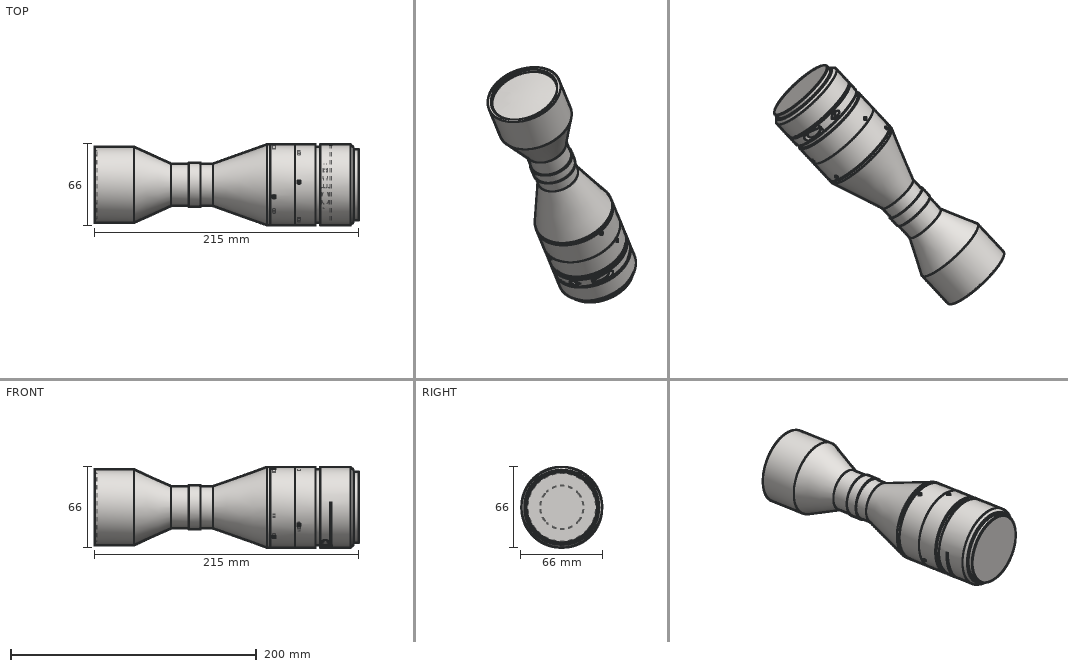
import cadquery as cq
import math


hood_radius = 31.0
neck_radius = 17.25
band_radius = 18.0
barrel_radius = 33.0
groove_floor_radius = 31.0
mount_radius = 29.0

hood_end = 32.6
front_cone_end = 62.2
band_start = 76.3
band_end = 85.9
rear_cone_start = 96.1
rear_cone_end = 140.2
relief_x = 142.8
mount_face_x = 163.0
wide_groove_start = 179.8
wide_groove_end = 183.4
rear_chamfer_start = 208.0
shoulder_x = 210.7
total_length = 214.97

hood_edge_break = 0.5
neck_edge_break = 0.5
band_edge_break = 0.4
ring_edge_break = 0.4
mount_edge_break = 0.4
relief_half_width = 0.3
relief_depth = 0.25
rear_chamfer_drop = 2.5

recess_radius = 28.2
dome_radius = 27.5
recess_depth = 2.0
dome_height = 1.6

screw_hole_diameter = 2.5
screw_hole_depth = 3.0
holes_per_row = 3
front_row_x = 145.9
front_row_angle = 107.5
rear_row_x = 166.2
rear_row_angle = 86.0

slit_x = 192.2
slit_width = 1.3
slit_floor_radius = 32.84
pocket_diameter = 6.4
pocket_x = 187.6
pocket_z = -29.8
pocket_floor_y = -2.0
clearance_diameter = 3.6

cutter_overlap = 1.0


def revolve_about_axis(profile):
    return profile.revolve(360, (0, 0, 0), (1, 0, 0))


def make_front_blank():
    """Hood, neck and rear cone, with a shallow convex window set back in the hood."""
    outline = [
        (0, recess_radius),
        (0, hood_radius),
        (hood_end - hood_edge_break, hood_radius),
        (hood_end, hood_radius - hood_edge_break / 2),
        (front_cone_end - neck_edge_break, neck_radius + neck_edge_break / 2),
        (front_cone_end, neck_radius),
        (band_start, neck_radius),
        (band_start, band_radius - band_edge_break),
        (band_start + band_edge_break, band_radius),
        (band_end, band_radius),
        (band_end, neck_radius),
        (rear_cone_start, neck_radius),
        (rear_cone_end, barrel_radius),
        (relief_x - relief_half_width, barrel_radius),
        (relief_x, barrel_radius - relief_depth),
        (relief_x + relief_half_width, barrel_radius),
        (mount_face_x, barrel_radius),
        (mount_face_x, 0),
    ]
    dome_tip = recess_depth - dome_height
    sphere_radius = (dome_radius**2 + dome_height**2) / (2 * dome_height)
    half_angle = math.asin(dome_radius / sphere_radius) / 2
    arc_x = dome_tip + sphere_radius * (1 - math.cos(half_angle))
    arc_radius = sphere_radius * math.sin(half_angle)
    profile = cq.Workplane("XY").moveTo(dome_tip, 0)
    profile = profile.threePointArc((arc_x, arc_radius), (recess_depth, dome_radius))
    for point in outline:
        profile = profile.lineTo(*point)
    return revolve_about_axis(profile.close())


def make_mount_blank():
    """Rear body with its wide groove, clamp ring and mounting collar."""
    outline = [
        (mount_face_x, 0),
        (mount_face_x, barrel_radius),
        (wide_groove_start, barrel_radius),
        (wide_groove_start, groove_floor_radius),
        (wide_groove_end, groove_floor_radius),
        (wide_groove_end, barrel_radius - ring_edge_break),
        (wide_groove_end + ring_edge_break, barrel_radius),
        (rear_chamfer_start, barrel_radius),
        (shoulder_x, barrel_radius - rear_chamfer_drop),
        (shoulder_x, mount_radius - mount_edge_break),
        (shoulder_x + mount_edge_break, mount_radius),
        (total_length - mount_edge_break, mount_radius),
        (total_length, mount_radius - mount_edge_break),
        (total_length, 0),
    ]
    return revolve_about_axis(cq.Workplane("XY").polyline(outline).close())


def make_screw_hole(x, angle):
    """Radial blind hole cutter, at an angle measured from +Y toward +Z."""
    turn = math.radians(angle)
    y = barrel_radius * math.cos(turn)
    z = barrel_radius * math.sin(turn)
    inward = cq.Vector(0, -y, -z)
    base = cq.Vector(x, y, z) - inward.normalized() * cutter_overlap
    depth = screw_hole_depth + cutter_overlap
    return cq.Workplane(cq.Solid.makeCylinder(screw_hole_diameter / 2, depth, base, inward))


def cut_screw_holes(body, x, first_angle):
    for index in range(holes_per_row):
        body = body.cut(make_screw_hole(x, first_angle + index * 360 / holes_per_row))
    return body


def make_outer_tube(x_start, length):
    """Tube between the groove floor radius and beyond the barrel surface."""
    plane = cq.Workplane("YZ", origin=(x_start, 0, 0))
    return plane.circle(barrel_radius + cutter_overlap).circle(groove_floor_radius).extrude(length)


def make_slit():
    """Slit cutter whose offset floor runs out of the ring just above mid height on both sides."""
    floor_center_z = slit_floor_radius - groove_floor_radius
    plane = cq.Workplane("YZ", origin=(slit_x - slit_width / 2, 0, 0))
    disc = plane.circle(barrel_radius + cutter_overlap).extrude(slit_width)
    floor = plane.center(0, floor_center_z).circle(slit_floor_radius).extrude(slit_width)
    return disc.cut(floor)


def make_clamp_pocket():
    """Clamp screw pocket and through hole cutter along Y, stopping at the groove floor radius."""
    plane = cq.Workplane("XZ", origin=(pocket_x, pocket_floor_y, pocket_z))
    head_bore = plane.circle(pocket_diameter / 2).extrude(barrel_radius)
    screw_bore = plane.circle(clearance_diameter / 2).extrude(barrel_radius, both=True)
    tube = make_outer_tube(pocket_x - pocket_diameter, 2 * pocket_diameter)
    return head_bore.union(screw_bore).intersect(tube)


def make_front_barrel():
    return cut_screw_holes(make_front_blank(), front_row_x, front_row_angle)


def make_mount():
    body = cut_screw_holes(make_mount_blank(), rear_row_x, rear_row_angle)
    return body.cut(make_slit()).cut(make_clamp_pocket())


front_barrel = make_front_barrel()
mount = make_mount()
result = cq.Compound.makeCompound([front_barrel.val(), mount.val()])